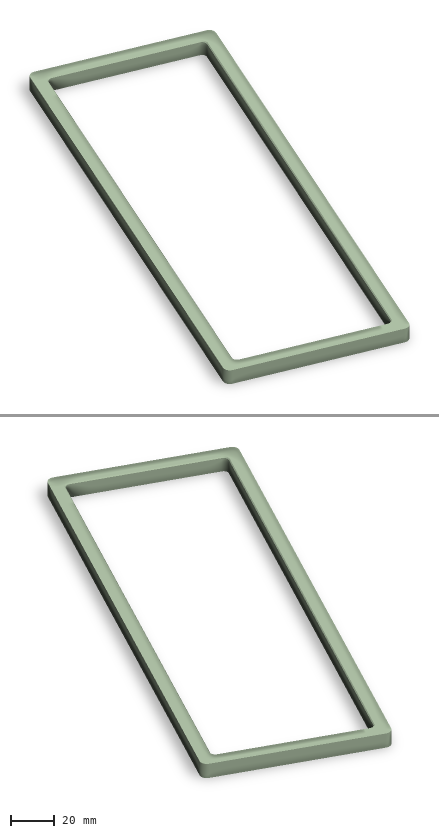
import cadquery as cq

length = 243.8
width = 91.5
height = 7.8
outer_corner_radius = 3.5

wall = 6.8
opening_corner_radius = 2.5
rim_chamfer = 0.5


def rounded_block(size_x, size_y, corner_radius):
    """Block of the frame's height, standing on Z = 0, with rounded vertical edges."""
    block = cq.Workplane("XY").box(size_x, size_y, height, centered=(True, True, False))
    return block.edges("|Z").fillet(corner_radius)


def opening_cutter():
    """Through opening that widens at the top to bevel the inner rim."""
    opening_length = length - 2 * wall
    opening_width = width - 2 * wall
    opening = rounded_block(opening_length, opening_width, opening_corner_radius)
    rim = (
        rounded_block(
            opening_length + 2 * rim_chamfer,
            opening_width + 2 * rim_chamfer,
            opening_corner_radius + rim_chamfer,
        )
        .translate((0, 0, height - rim_chamfer))
        .faces("<Z")
        .chamfer(rim_chamfer)
    )
    return opening.union(rim)


result = rounded_block(length, width, outer_corner_radius).cut(opening_cutter())